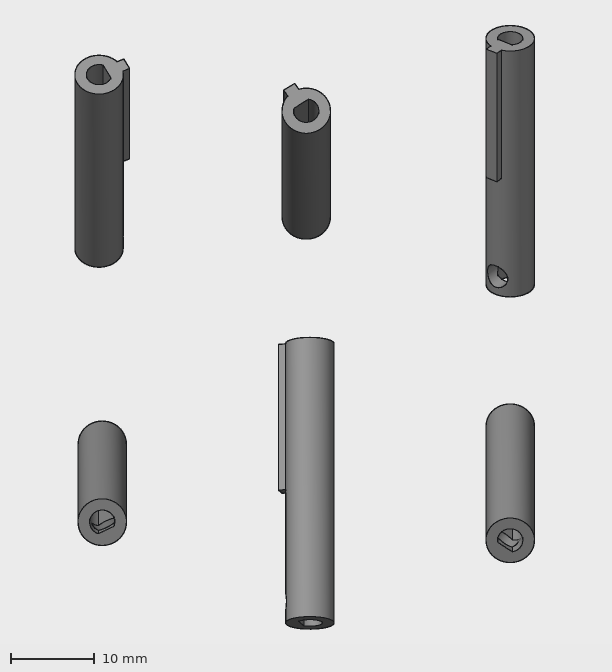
import cadquery as cq

length = 34.5
outer_diameter = 5.8
bore_diameter = 3.0
bore_flat_offset = 1.07

overall_depth = 6.6
key_width = 1.6
key_length = 18.0

side_hole_diameter = 3.0
side_hole_height = 2.52

outer_radius = outer_diameter / 2
bore_radius = bore_diameter / 2
key_outer_y = overall_depth - outer_radius


def make_tube():
    return cq.Workplane("XY").circle(outer_radius).extrude(length)


def make_key():
    """Straight key on the +Y side, running down from the top end."""
    return (
        cq.Workplane("XY")
        .workplane(offset=length - key_length)
        .box(key_width, key_outer_y, key_length, centered=(True, False, False))
    )


def make_bore():
    """D-shaped through bore with its flat facing the key."""
    flat_half_width = (bore_radius**2 - bore_flat_offset**2) ** 0.5
    return (
        cq.Workplane("XY")
        .moveTo(-flat_half_width, bore_flat_offset)
        .threePointArc((0, -bore_radius), (flat_half_width, bore_flat_offset))
        .close()
        .extrude(length)
    )


def make_side_hole():
    """Radial hole from the +Y side into the bore."""
    return (
        cq.Workplane("XZ")
        .center(0, side_hole_height)
        .circle(side_hole_diameter / 2)
        .extrude(-outer_radius)
    )


result = make_tube().union(make_key()).cut(make_bore()).cut(make_side_hole())